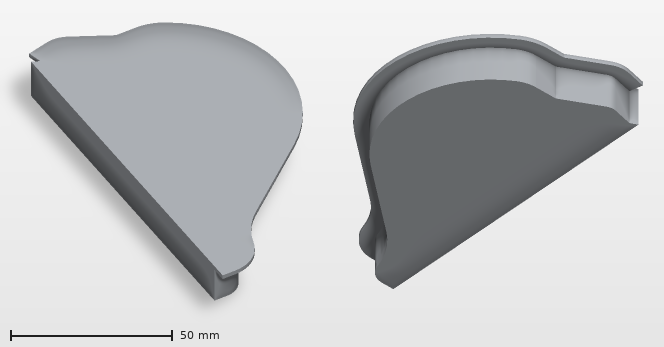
import math

import cadquery as cq


total_height = 14.0
lid_thickness = 1.5
body_height = total_height - lid_thickness

lid_length = 122.7
lid_depth = 66.09
rim = 5.0

dome_radius = 37.6
dome_center = (47.3, lid_depth - rim - dome_radius)

shoulder_radius = 12.6
left_wall_x = 13.1

lobe_radius = 5.0
lobe_center = (rim + lobe_radius, 11.1)
neck_tilt = 27.8
foot_tilt = 13.4
foot_end_y = 2.6
flat_start_x = 5.6

slope_angle = 39.3
hollow_radius = 29.4
toe_radius = 7.0
toe_center = (lid_length - rim - toe_radius, 4.6)


def direction(angle):
    """Unit vector at an angle in degrees, counter-clockwise from +X."""
    return math.cos(math.radians(angle)), math.sin(math.radians(angle))


def polar(center, radius, angle):
    """Point on a circle at an angle in degrees."""
    x, y = direction(angle)
    return center[0] + radius * x, center[1] + radius * y


def angle_to(start, end):
    """Direction from start to end, in degrees."""
    return math.degrees(math.atan2(end[1] - start[1], end[0] - start[0]))


def find_shoulder_center():
    """Center of the arc tangent to the left wall and to the dome from inside."""
    x = left_wall_x + shoulder_radius
    rise = math.sqrt((dome_radius - shoulder_radius) ** 2 - (dome_center[0] - x) ** 2)
    return x, dome_center[1] + rise


def find_hollow_center():
    """Center of the arc tangent to the slope and to the toe from outside."""
    normal_x, normal_y = direction(slope_angle)
    base = polar(dome_center, dome_radius + hollow_radius, slope_angle)
    to_toe = (toe_center[0] - base[0], toe_center[1] - base[1])
    across = to_toe[0] * normal_x + to_toe[1] * normal_y
    along = to_toe[0] * normal_y - to_toe[1] * normal_x
    travel = along - math.sqrt((hollow_radius + toe_radius) ** 2 - across ** 2)
    return base[0] + travel * normal_y, base[1] - travel * normal_x


shoulder_center = find_shoulder_center()
hollow_center = find_hollow_center()

neck_angle = 180 - neck_tilt
foot_angle = 180 + foot_tilt
shoulder_angle = angle_to(dome_center, shoulder_center)
hollow_start = slope_angle - 180
hollow_end = angle_to(hollow_center, toe_center)
toe_angle = angle_to(toe_center, hollow_center)

touching_gap = 1e-6


def add_arc(sketch, center, radius, start, end):
    """Follow an arc, first running a straight wall to its start if there is a gap."""
    first = polar(center, radius, start)
    if math.dist(first, sketch.val().endPoint().toTuple()[:2]) > touching_gap:
        sketch = sketch.lineTo(*first)
    middle = polar(center, radius, (start + end) / 2)
    return sketch.threePointArc(middle, polar(center, radius, end))


def prism(overhang, height):
    """Extrude the body outline, widened by an overhang on its curved sides."""
    foot_start = polar(lobe_center, lobe_radius, foot_angle)
    foot_drop = foot_start[1] - foot_end_y
    foot_end = (foot_start[0] + foot_drop * math.tan(math.radians(foot_tilt)), foot_end_y)

    wall_x = left_wall_x - overhang
    neck_start = polar(lobe_center, lobe_radius + overhang, neck_angle)
    neck_rise = (wall_x - neck_start[0]) / math.tan(math.radians(neck_tilt))
    neck_corner = (wall_x, neck_start[1] + neck_rise)

    outline = cq.Workplane("XY").moveTo(flat_start_x, 0).lineTo(*foot_end)
    if overhang > 0:
        outline = outline.lineTo(*polar(foot_end, overhang, foot_angle))
    outline = add_arc(outline, lobe_center, lobe_radius + overhang, foot_angle, neck_angle)
    outline = outline.lineTo(*neck_corner)
    outline = add_arc(outline, shoulder_center, shoulder_radius + overhang, 180, shoulder_angle)
    outline = add_arc(outline, dome_center, dome_radius + overhang, shoulder_angle, slope_angle)
    outline = add_arc(outline, hollow_center, hollow_radius - overhang, hollow_start, hollow_end)
    outline = add_arc(outline, toe_center, toe_radius + overhang, toe_angle, 0)
    outline = outline.lineTo(toe_center[0] + toe_radius + overhang, 0)
    return outline.close().extrude(height)


body = prism(0, body_height)
lid = prism(rim, lid_thickness).translate((0, 0, body_height))
result = body.union(lid)